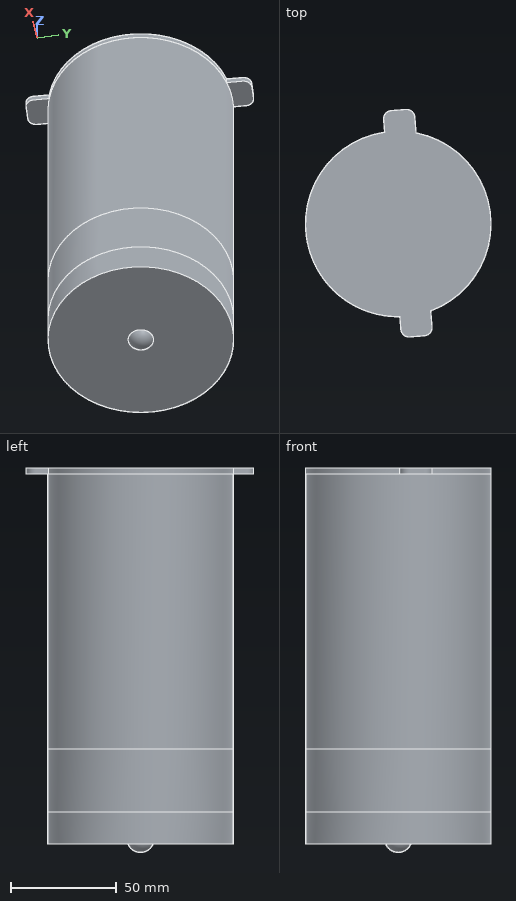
import cadquery as cq

total_height = 182.0
canister_diameter = 88.0
base_height = 15.3
collar_height = 29.7
lid_thickness = 3.0

button_diameter = 12.0
button_height = 4.0

tab_span = 107.6
tab_width = 15.0
tab_corner_radius = 4.0
tab_angle = 4.7
tab_offset = 4.5

lid_top = total_height - button_height
lid_bottom = lid_top - lid_thickness
collar_bottom = base_height
collar_top = collar_bottom + collar_height


def canister_section(bottom, top):
    """Solid cylinder of the canister between two levels."""
    return cq.Workplane("XY", origin=(0, 0, bottom)).circle(canister_diameter / 2).extrude(top - bottom)


def make_base():
    return canister_section(0, collar_bottom)


def make_collar():
    return canister_section(collar_bottom, collar_top)


def make_housing():
    return canister_section(collar_top, lid_bottom)


def make_lid():
    """Disc crossed by an off-centre, slightly turned bar whose rounded ends form the two tabs."""
    disc = canister_section(lid_bottom, lid_top)
    tab_bar = (
        cq.Workplane("XY", origin=(0, 0, lid_bottom))
        .center(tab_offset, 0)
        .rect(tab_width, tab_span)
        .extrude(lid_thickness)
        .edges("|Z")
        .fillet(tab_corner_radius)
        .rotate((0, 0, 0), (0, 0, 1), tab_angle)
    )
    return disc.union(tab_bar)


def make_button():
    """Spherical cap with its flat face against the underside of the base."""
    rim_radius = button_diameter / 2
    sphere_radius = (rim_radius**2 + button_height**2) / (2 * button_height)
    sphere_centre = sphere_radius - button_height
    ball = cq.Workplane("XY", origin=(0, 0, sphere_centre)).sphere(sphere_radius)
    below_base = (
        cq.Workplane("XY")
        .rect(2 * button_diameter, 2 * button_diameter)
        .extrude(-2 * button_height)
    )
    return ball.intersect(below_base)


base = make_base()
collar = make_collar()
housing = make_housing()
lid = make_lid()
button = make_button()

result = cq.Compound.makeCompound([base.val(), collar.val(), housing.val(), lid.val(), button.val()])